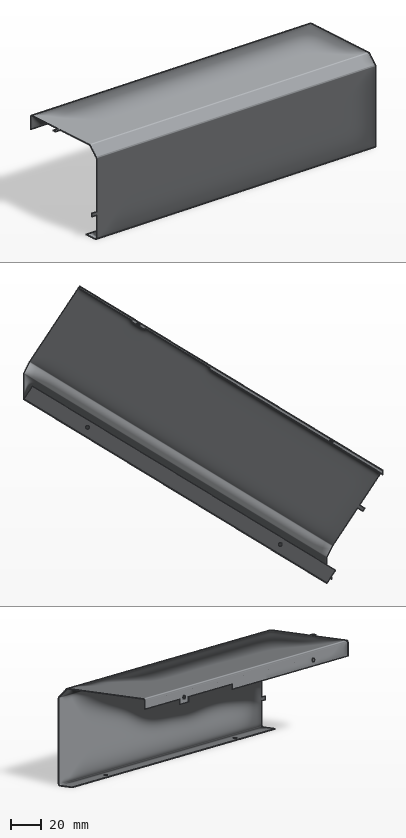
import cadquery as cq

width = 69.0
height = 66.0
body_length = 235.0
sheet = 0.5
bend_radius = 1.5
corner_chamfer = 7.0

side_flange = 10.5
bottom_flange = 11.0

recess_depth = 3.5
recess_length = 101.0
lug_width = 10.0

hole_diameter = 2.5
hole_bend_distance = 6.5
front_hole_y = 40.0
hole_spacing = 149.5
hole_positions = [front_hole_y, front_hole_y + hole_spacing]

tab_length = 4.0
tab_width = 2.5
top_tab_x = 29.8
wall_tab_z = 19.0


def box(x_range, y_range, z_range):
    """Box spanning the given (low, high) ranges."""
    ranges = (x_range, y_range, z_range)
    sizes = [high - low for low, high in ranges]
    corner = tuple(low for low, high in ranges)
    return cq.Workplane("XY").box(*sizes, centered=False).translate(corner)


def folded_sheet():
    """Closed tube with rounded bends, opened up between the two flange edges."""
    outline = [
        (0, 0),
        (0, height),
        (width - corner_chamfer, height),
        (width, height - corner_chamfer),
        (width, 0),
    ]
    block = cq.Workplane("XZ").polyline(outline).close().extrude(-body_length)
    tube = block.edges("|Y").fillet(bend_radius).faces("|Y").shell(-sheet)
    opening = box(
        (0, width - bottom_flange),
        (0, body_length),
        (0, height - side_flange),
    )
    return tube.cut(opening)


def flange_recess():
    """Strip removed from the rear of the side flange, on both sides of the lug."""
    flange_edge = height - side_flange
    lug_center = hole_positions[-1]
    x_range = (0, sheet)
    z_range = (flange_edge, flange_edge + recess_depth)
    front_strip = box(x_range, (body_length - recess_length, lug_center - lug_width / 2), z_range)
    rear_strip = box(x_range, (lug_center + lug_width / 2, body_length), z_range)
    return front_strip.union(rear_strip)


def flange_holes():
    """Cutters for the screw holes through the side and bottom flanges."""
    side_z = height - hole_bend_distance
    bottom_x = width - hole_bend_distance
    side = cq.Workplane("YZ").pushPoints([(y, side_z) for y in hole_positions])
    bottom = cq.Workplane("XY").pushPoints([(bottom_x, y) for y in hole_positions])
    radius = hole_diameter / 2
    return side.circle(radius).extrude(sheet).union(bottom.circle(radius).extrude(sheet))


def locating_tabs():
    """One tab continuing the top panel and one continuing the +X wall."""
    y_range = (-tab_length, 0)
    top_tab = box(
        (top_tab_x - tab_width / 2, top_tab_x + tab_width / 2),
        y_range,
        (height - sheet, height),
    )
    wall_tab = box(
        (width - sheet, width),
        y_range,
        (wall_tab_z - tab_width / 2, wall_tab_z + tab_width / 2),
    )
    return top_tab.union(wall_tab)


result = folded_sheet().cut(flange_recess()).cut(flange_holes()).union(locating_tabs())